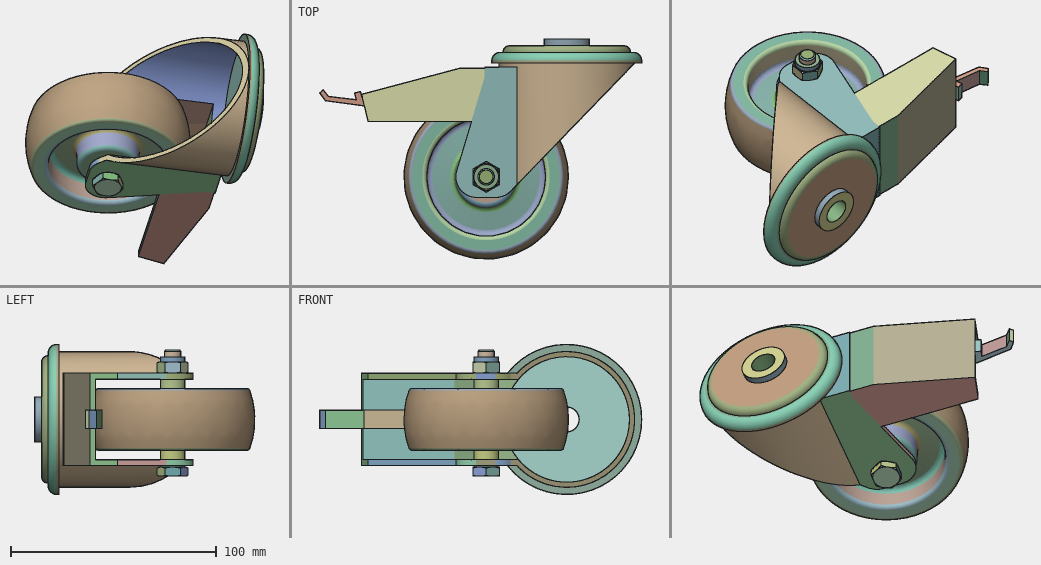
import cadquery as cq
import math


axle_x = -39.1
axle_y = -63.7
bolt_dia = 8.0

boss_dia = 22.0
boss_height = 3.3
bolt_hole_dia = 12.0
disc_dia = 62.05
disc_thickness = 3.2
flange_dia = 73.0
flange_thickness = 5.3
flange_round = 4.2
head_bottom_y = -disc_thickness - flange_thickness

skirt_outer_dia = 66.0
skirt_inner_dia = 61.0
fork_width = 45.0
sheet = 3.0
fork_inner_width = fork_width - 2 * sheet
fork_top_y = -10.4
web_bottom_y = -14.5
fork_front_x = -39.7
fork_shoulder_y = -15.2
arm_end_radius = 10.0
arm_end_offset = 4.75

cover_top_y = -10.9
cover_bend_x = -51.9
cover_inner_bend_x = -54.5
cover_tip = (-99.7, -23.6)
cover_inner_tip = (-99.05, -26.2)
cover_heel = (-96.5, -36.9)

pedal_width = 9.0
pedal_bar_end_x = -74.4
pedal_bar_end_y = -23.4
pedal_bar_thickness = 4.5
pedal_bar_root = (-98.4, -29.3)
pedal_bend_bottom = (-117.2, -26.8)
pedal_end_bottom = (-120.0, -23.0)
pedal_end_top = (-118.3, -21.4)
pedal_bend_top = (-115.7, -24.6)
hook_root = (-102.3, -26.2)
hook_top_outer = (-103.1, -23.0)
hook_top_inner = (-100.2, -22.2)

wheel_radius = 40.0
wheel_width = 30.0
tread_edge_radius = 37.6
tread_edge_height = 13.9
side_outer_radius = 35.8
rim_inner_radius = 29.0
recess_bottom_radius = 28.7
hub_base_height = 3.7
rim_base_height = 2.3
hub_base_radius = 15.4
hub_top_radius = 14.9
rim_round = 2.0
recess_round = 2.4
hub_base_round = 2.2
hub_top_round = 2.2
hub_tube_dia = 12.0

across_flats = 13.0
hex_trim_height = 0.5
hex_trim_width = 0.9
washer_face_dia = 11.63
washer_face_height = 0.7
head_height = 4.4
nut_height = 5.5
collar_dia = 12.0
collar_height = 2.4
bolt_tip_z = 33.8
bolt_tip_chamfer = 0.7


def disc_about_swivel_axis(diameter, top_y, thickness):
    """Cylinder about the Y axis, running down from top_y."""
    return cq.Workplane("XZ", origin=(0, top_y, 0)).circle(diameter / 2).extrude(thickness)


def plate_across(outline, width):
    """Extrude an XY outline along Z, centred on Z = 0."""
    return outline.extrude(width / 2, both=True)


def make_head():
    """Boss, upper disc and flange, with the disc and the flange rounded along their top edges."""
    disc_radius = disc_dia / 2
    flange_radius = flange_dia / 2
    arc_part = math.sqrt(0.5)
    disc_middle = (disc_radius - disc_thickness * (1 - arc_part), -disc_thickness * (1 - arc_part))
    flange_middle = (
        flange_radius - flange_round * (1 - arc_part),
        -disc_thickness - flange_round * (1 - arc_part),
    )
    return (
        cq.Workplane("XY")
        .moveTo(0, boss_height)
        .lineTo(boss_dia / 2, boss_height)
        .lineTo(boss_dia / 2, 0)
        .lineTo(disc_radius - disc_thickness, 0)
        .threePointArc(disc_middle, (disc_radius, -disc_thickness))
        .lineTo(flange_radius - flange_round, -disc_thickness)
        .threePointArc(flange_middle, (flange_radius, -disc_thickness - flange_round))
        .lineTo(flange_radius, head_bottom_y)
        .lineTo(0, head_bottom_y)
        .close()
        .revolve(360, (0, 0, 0), (0, 1, 0))
    )


def block_in_front(top_y, width):
    """Block from the swivel axis to well past the fork's front and bottom, below top_y."""
    length = -2 * axle_x
    height = -2 * axle_y
    block = cq.Workplane("XY").box(length, height, width)
    return block.translate((-length / 2, top_y - height / 2, 0))


def on_arm_end(centre_x, angle):
    """Point on a rounded arm end, at an angle from +X."""
    return (centre_x + arm_end_radius * math.cos(angle), axle_y + arm_end_radius * math.sin(angle))


def tangent_angle(centre_x, point, side):
    """Angle on a rounded arm end where the straight edge from the point touches it, on the given side."""
    dx = point[0] - centre_x
    dy = point[1] - axle_y
    return math.atan2(dy, dx) + side * math.acos(arm_end_radius / math.hypot(dx, dy))


def make_fork():
    """Round skirt under the head, with a web and two arms in front, cut off along a slanted rear edge."""
    skirt_radius = skirt_outer_dia / 2
    front_centre_x = axle_x - arm_end_offset
    rear_centre_x = axle_x + arm_end_offset
    bottom_angle = -math.pi / 2
    shoulder = (fork_front_x, fork_shoulder_y)
    skirt_corner = (skirt_radius, head_bottom_y)

    front_angle = tangent_angle(front_centre_x, shoulder, 1) - 2 * math.pi
    rear_angle = tangent_angle(rear_centre_x, skirt_corner, -1)
    side_outline = (
        cq.Workplane("XY")
        .moveTo(-skirt_radius, head_bottom_y)
        .lineTo(-skirt_radius, fork_top_y)
        .lineTo(fork_front_x, fork_top_y)
        .lineTo(*shoulder)
        .lineTo(*on_arm_end(front_centre_x, front_angle))
        .threePointArc(
            on_arm_end(front_centre_x, (front_angle + bottom_angle) / 2),
            on_arm_end(front_centre_x, bottom_angle),
        )
        .lineTo(*on_arm_end(rear_centre_x, bottom_angle))
        .threePointArc(
            on_arm_end(rear_centre_x, (bottom_angle + rear_angle) / 2),
            on_arm_end(rear_centre_x, rear_angle),
        )
        .lineTo(*skirt_corner)
        .close()
    )
    arms_block = block_in_front(fork_top_y, fork_width)
    gap = block_in_front(web_bottom_y, fork_inner_width)
    skirt = disc_about_swivel_axis(skirt_outer_dia, head_bottom_y, -2 * axle_y)
    cavity = disc_about_swivel_axis(skirt_inner_dia, head_bottom_y, -2 * axle_y)
    section = skirt.union(arms_block).cut(cavity).cut(gap)
    return section.intersect(plate_across(side_outline, skirt_outer_dia))


def make_brake_cover():
    """Channel in front of the fork: a bent web with a side wall along each edge."""
    outside = cq.Workplane("XY").polyline(
        [
            (fork_front_x, cover_top_y),
            (cover_bend_x, cover_top_y),
            cover_tip,
            cover_heel,
            (fork_front_x, cover_heel[1]),
        ]
    ).close()
    inside = cq.Workplane("XY").polyline(
        [
            (fork_front_x, web_bottom_y),
            (cover_inner_bend_x, web_bottom_y),
            cover_inner_tip,
            (cover_inner_tip[0], cover_heel[1]),
            (fork_front_x, cover_heel[1]),
        ]
    ).close()
    return plate_across(outside, fork_width).cut(plate_across(inside, fork_inner_width))


def make_pedal():
    """Bent bar under the cover web, with an upright hook against the cover's front edge."""
    outline = cq.Workplane("XY").polyline(
        [
            pedal_end_top,
            pedal_bend_top,
            hook_root,
            hook_top_outer,
            hook_top_inner,
            cover_inner_tip,
            (pedal_bar_end_x, pedal_bar_end_y + pedal_bar_thickness),
            (pedal_bar_end_x, pedal_bar_end_y),
            pedal_bar_root,
            pedal_bend_bottom,
            pedal_end_bottom,
        ]
    ).close()
    return plate_across(outline, pedal_width)


def make_housing():
    """Head, fork, brake cover and pedal as one body, with the bolt holes."""
    fork = make_head().union(make_fork())
    cover = make_brake_cover().cut(fork)
    body = fork.union(cover, clean=False).union(make_pedal(), clean=False)
    swivel_hole = disc_about_swivel_axis(bolt_hole_dia, boss_height, boss_height - head_bottom_y)
    axle_hole = axle_cylinder(bolt_dia, -fork_width / 2, fork_width / 2)
    return body.cut(swivel_hole, clean=False).cut(axle_hole, clean=False)


def axle_cylinder(diameter, start_z, end_z):
    """Cylinder about the axle between two heights along Z."""
    base = cq.Workplane("XY", origin=(axle_x, axle_y, start_z))
    return base.circle(diameter / 2).extrude(end_z - start_z)


def circle_selector(radius, z):
    """Selects the circle of this radius about the Z axis at height z."""
    slack = 0.05
    outer = cq.selectors.BoxSelector(
        (-radius - slack, -radius - slack, z - slack), (radius + slack, radius + slack, z + slack), True
    )
    smaller = radius - slack
    inner = cq.selectors.BoxSelector((-smaller, -smaller, z - slack), (smaller, smaller, z + slack), True)
    return outer - inner


def make_wheel():
    """Crowned tyre with a recess around the hub on each side, and a hub tube that spans the fork."""
    side_z = wheel_width / 2
    arc_part = math.sqrt(0.5)
    corner_width = tread_edge_radius - side_outer_radius
    corner_height = side_z - tread_edge_height
    corner_middle = (
        side_outer_radius + corner_width * arc_part,
        tread_edge_height + corner_height * arc_part,
    )
    wheel = (
        cq.Workplane("XZ")
        .moveTo(0, -side_z)
        .lineTo(side_outer_radius, -side_z)
        .threePointArc((corner_middle[0], -corner_middle[1]), (tread_edge_radius, -tread_edge_height))
        .threePointArc((wheel_radius, 0), (tread_edge_radius, tread_edge_height))
        .threePointArc(corner_middle, (side_outer_radius, side_z))
        .lineTo(0, side_z)
        .close()
        .revolve(360, (0, 0, 0), (0, 1, 0))
    )
    recess = (
        cq.Workplane("XZ")
        .moveTo(hub_top_radius, side_z)
        .lineTo(hub_base_radius, hub_base_height)
        .lineTo(recess_bottom_radius, rim_base_height)
        .lineTo(rim_inner_radius, side_z)
        .close()
        .revolve(360, (0, 0, 0), (0, 1, 0))
    )
    wheel = wheel.cut(recess).cut(recess.mirror("XY"))
    for radius, height, rounding in (
        (rim_inner_radius, side_z, rim_round),
        (recess_bottom_radius, rim_base_height, recess_round),
        (hub_base_radius, hub_base_height, hub_base_round),
        (hub_top_radius, side_z, hub_top_round),
    ):
        for z in (-height, height):
            wheel = wheel.edges(circle_selector(radius, z)).fillet(rounding)

    wheel = wheel.translate((axle_x, axle_y, 0))
    tube = axle_cylinder(hub_tube_dia, -fork_inner_width / 2, fork_inner_width / 2)
    bore = axle_cylinder(bolt_dia, -fork_inner_width / 2, fork_inner_width / 2)
    return wheel.union(tube).cut(bore)


def hexagon(start_z, end_z):
    """Hexagonal prism about the axle with flats facing +X and -X and its corners trimmed round."""
    corner_dia = across_flats / math.cos(math.pi / 6)
    base = cq.Workplane("XY", origin=(axle_x, axle_y, start_z)).transformed(rotate=(0, 0, 90))
    prism = base.polygon(6, corner_dia).extrude(end_z - start_z)
    trim = axle_cylinder(corner_dia, start_z, end_z).edges().chamfer(hex_trim_height, hex_trim_width)
    return prism.intersect(trim)


def make_bolt():
    """Bolt with its head below the fork and a collared nut above it."""
    arm_z = fork_width / 2
    nut_top_z = arm_z + nut_height
    head_top_z = -arm_z - washer_face_height
    shank = axle_cylinder(bolt_dia, head_top_z, bolt_tip_z).faces(">Z").chamfer(bolt_tip_chamfer)
    washer_face = axle_cylinder(washer_face_dia, head_top_z, -arm_z)
    collar = axle_cylinder(collar_dia, nut_top_z, nut_top_z + collar_height)
    bolt = shank.union(washer_face).union(collar)
    return bolt.union(hexagon(head_top_z - head_height, head_top_z)).union(hexagon(arm_z, nut_top_z))


housing = make_housing()
wheel = make_wheel()
bolt = make_bolt()
result = cq.Compound.makeCompound([housing.val(), wheel.val(), bolt.val()])